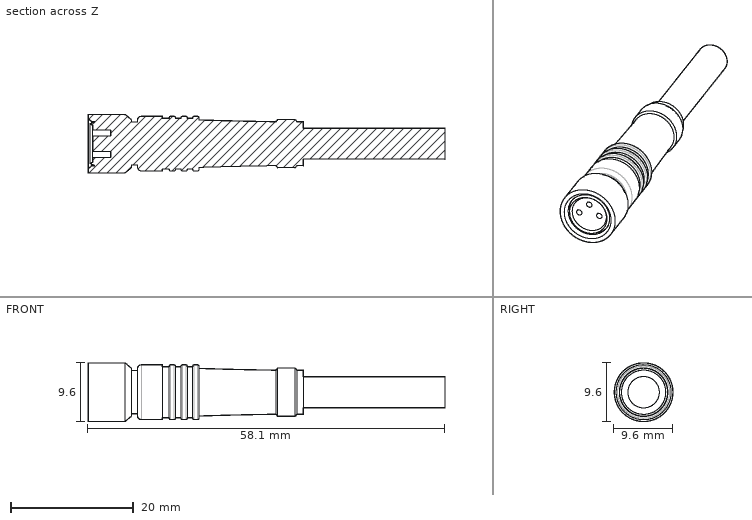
import cadquery as cq

total_length = 58.15
full_turn = 360.0

nut_diameter = 9.6
nut_radius = nut_diameter / 2
nut_straight_length = 6.05
nut_end_x = 7.1
nut_end_radius = 3.9
mouth_radius = 4.05
mouth_depth = 0.6

neck_radius = 3.55

grip_start_x = 8.0
grip_radius = 4.5
grip_nose_fillet = 0.65
grip_end_x = 12.1
groove_radius = 4.2
rib_count = 3
rib_start_x = 13.2
rib_pitch = 1.9
rib_width = 1.05
rib_edge_fillet = 0.25

body_start_radius = 3.9
body_end_radius = 3.6
body_middle_radius = 3.7
body_end_x = 30.6

collar_start_x = 30.9
collar_radius = 3.95
collar_end_x = 33.7
ring_start_x = 34.0
ring_radius = 3.6
ring_end_x = 35.05

cable_radius = 2.55

gap_outer_radius = 3.6
gap_depth = 1.15
lip_radius = 3.25
lip_depth = 0.3
face_radius = 2.95
face_depth = 0.75
contact_circle_radius = 1.75
contact_hole_diameter = 0.95
contact_hole_depth = 2.9
contact_count = 3
contact_span = 180.0


def revolve_about_x(outline):
    """Turn a closed half outline, drawn as (x, radius), into a solid of revolution about X."""
    return outline.close().revolve(full_turn, (0, 0, 0), (1, 0, 0))


def cylinder(start_x, end_x, radius):
    """A round length of the part between two stations along X."""
    return cq.Workplane("YZ", origin=(start_x, 0, 0)).circle(radius).extrude(end_x - start_x)


rib_starts = [rib_start_x + i * rib_pitch for i in range(rib_count)]
ribs_end_x = rib_starts[-1] + rib_width
body_middle_x = (ribs_end_x + body_end_x) / 2

result = revolve_about_x(
    cq.Workplane("XY")
    .lineTo(0, nut_radius)
    .lineTo(nut_straight_length, nut_radius)
    .lineTo(nut_end_x, nut_end_radius)
    .lineTo(nut_end_x, neck_radius)
    .lineTo(grip_start_x, neck_radius)
    .lineTo(grip_start_x, grip_radius - grip_nose_fillet)
    .radiusArc((grip_start_x + grip_nose_fillet, grip_radius), grip_nose_fillet)
    .lineTo(grip_end_x, grip_radius)
    .lineTo(grip_end_x, groove_radius)
    .lineTo(ribs_end_x, groove_radius)
    .lineTo(ribs_end_x, body_start_radius)
    .threePointArc((body_middle_x, body_middle_radius), (body_end_x, body_end_radius))
    .lineTo(collar_start_x, collar_radius)
    .lineTo(collar_end_x, collar_radius)
    .lineTo(ring_start_x, ring_radius)
    .lineTo(ring_end_x, ring_radius)
    .lineTo(ring_end_x, cable_radius)
    .lineTo(total_length, cable_radius)
    .lineTo(total_length, 0)
)

for start_x in rib_starts:
    rib = cylinder(start_x, start_x + rib_width, grip_radius)
    result = result.union(rib.edges().fillet(rib_edge_fillet))

mouth = revolve_about_x(
    cq.Workplane("XY")
    .lineTo(0, mouth_radius)
    .lineTo(mouth_depth, gap_outer_radius)
    .lineTo(gap_depth, gap_outer_radius)
    .lineTo(lip_depth, lip_radius)
    .lineTo(face_depth, face_radius)
    .lineTo(face_depth, 0)
)
result = result.cut(mouth)

contact_holes = (
    cq.Workplane("YZ", origin=(face_depth, 0, 0))
    .polarArray(contact_circle_radius, 0, contact_span, contact_count)
    .circle(contact_hole_diameter / 2)
    .extrude(contact_hole_depth)
)
result = result.cut(contact_holes)